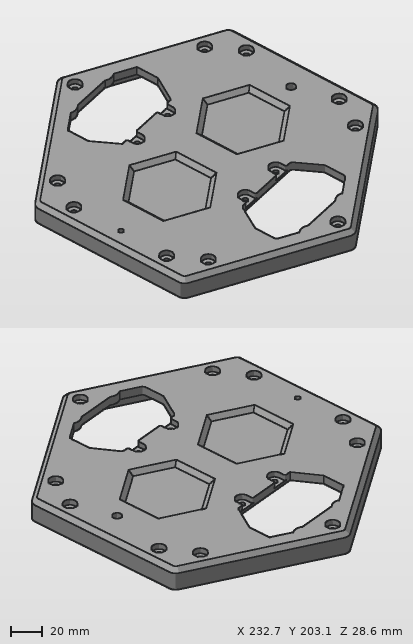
import cadquery as cq
import math

plate_across_flats = 203.1
total_height = 28.6
block_drop = 12.5
corner_radius = 6.0
rim_chamfer = 3.3
skin_thickness = 6.5

block_length_x = 45.5
block_length_y = 82.1

pocket_across_corners = 63.8
pocket_depth = 3.3
pocket_side_inset = 3.3
pocket_center_y = 38.2

screw_diameter = 3.7
head_diameter = 9.5
head_depth = 4.2
screw_edge_distance = 11.9
screw_along_edge = 36.5
inner_screw_x = 42.5
inner_screw_y = 15.8
slot_mouth_radius = 1.2

large_hole_diameter = 6.3
large_hole_center = (5.8, 80.3)
small_hole_center = (0, -88.9)

window_inner_x = 47.2
window_outer_x = 90.7
window_half_width = 36.0
window_inner_half_width = 25.4
window_top_outer_x = 82.1
window_corner_radius = 3.0
bump_start_y = 14.2
bump_end_y = 22.3
bump_peak_x = 89.0

position_tolerance = 0.02

cos30 = math.cos(math.radians(30))
sin30 = math.sin(math.radians(30))
tan30 = math.tan(math.radians(30))
tan60 = math.tan(math.radians(60))
apothem = plate_across_flats / 2
skin_bottom = total_height - skin_thickness


def hexagon(across_flats, z):
    """Starts a sketch of a centred hexagon at height z."""
    return cq.Workplane("XY").workplane(offset=z).polygon(6, across_flats / cos30)


def make_tray():
    plate = hexagon(plate_across_flats, block_drop).extrude(total_height - block_drop)
    plate = plate.edges("|Z").fillet(corner_radius)
    plate = plate.faces(">Z").chamfer(rim_chamfer)
    cavity = hexagon(plate_across_flats - 2 * skin_thickness, block_drop)
    return plate.cut(cavity.extrude(skin_bottom - block_drop))


def make_block():
    return cq.Workplane("XY").rect(block_length_x, block_length_y).extrude(skin_bottom)


def make_pocket(center_y):
    across_flats = pocket_across_corners * cos30
    slope = math.degrees(math.atan2(pocket_side_inset, pocket_depth))
    pocket = hexagon(across_flats, total_height).extrude(-pocket_depth, taper=slope)
    return pocket.translate((0, center_y, 0))


def make_window():
    shoulder_x = window_inner_x + (window_half_width - window_inner_half_width) * tan60
    bump_end_x = window_top_outer_x + (window_half_width - bump_end_y) * tan30
    bump_middle_y = (bump_start_y + bump_end_y) / 2
    outline = (
        cq.Workplane("XY")
        .workplane(offset=skin_bottom)
        .moveTo(window_inner_x, -window_inner_half_width)
        .lineTo(shoulder_x, -window_half_width)
        .lineTo(window_top_outer_x, -window_half_width)
        .lineTo(bump_end_x, -bump_end_y)
        .threePointArc((bump_peak_x, -bump_middle_y), (window_outer_x, -bump_start_y))
        .lineTo(window_outer_x, bump_start_y)
        .threePointArc((bump_peak_x, bump_middle_y), (bump_end_x, bump_end_y))
        .lineTo(window_top_outer_x, window_half_width)
        .lineTo(shoulder_x, window_half_width)
        .lineTo(window_inner_x, window_inner_half_width)
        .close()
    )
    return outline.extrude(skin_thickness)


def round_window_corners(window):
    """Rounds every upright edge except the sharp outer ends of the bumps."""
    def is_rounded(edge):
        return abs(abs(edge.Center().y) - bump_end_y) > position_tolerance

    return window.edges("|Z").filter(is_rounded).fillet(window_corner_radius)


def through_hole(center, diameter):
    hole = cq.Workplane("XY").workplane(offset=block_drop).center(*center)
    return hole.circle(diameter / 2).extrude(total_height - block_drop)


def screw_hole(center):
    head_top = cq.Workplane("XY").workplane(offset=total_height).center(*center)
    head = head_top.circle(head_diameter / 2).extrude(-head_depth)
    return through_hole(center, screw_diameter).union(head)


def head_slot(center):
    """Opens a screw head recess sideways into the window beside it."""
    x, y = center
    slot = cq.Workplane("XY").workplane(offset=total_height)
    slot = slot.center(math.copysign((inner_screw_x + window_inner_x) / 2, x), y)
    return slot.rect(window_inner_x - inner_screw_x, head_diameter).extrude(-head_depth)


def round_slot_mouths(plate):
    """Rounds the upright edges where the head slots open into the windows."""
    def is_mouth(edge):
        center = edge.Center()
        from_window = abs(abs(center.x) - window_inner_x)
        from_slot_side = abs(abs(abs(center.y) - inner_screw_y) - head_diameter / 2)
        return max(from_window, from_slot_side) < position_tolerance

    return plate.edges("|Z").filter(is_mouth).fillet(slot_mouth_radius)


def rim_screw_centers():
    """One screw in each X corner, and two beside each of the other four corners."""
    offset = apothem - screw_edge_distance
    centers = [(offset / cos30, 0), (-offset / cos30, 0)]
    slanted_edge_x = offset * cos30 - screw_along_edge * sin30
    slanted_edge_y = offset * sin30 + screw_along_edge * cos30
    for x_side in (1, -1):
        for y_side in (1, -1):
            centers.append((x_side * screw_along_edge, y_side * offset))
            centers.append((x_side * slanted_edge_x, y_side * slanted_edge_y))
    return centers


result = make_tray().union(make_block())

for center_y in (pocket_center_y, -pocket_center_y):
    result = result.cut(make_pocket(center_y))

window = make_window()
result = result.cut(round_window_corners(window)).cut(window.mirror("YZ"))

for center in rim_screw_centers():
    result = result.cut(screw_hole(center))

for x in (inner_screw_x, -inner_screw_x):
    for y in (inner_screw_y, -inner_screw_y):
        result = result.cut(screw_hole((x, y))).cut(head_slot((x, y)))
result = round_slot_mouths(result)

result = result.cut(through_hole(large_hole_center, large_hole_diameter))
result = result.cut(through_hole(small_hole_center, screw_diameter))